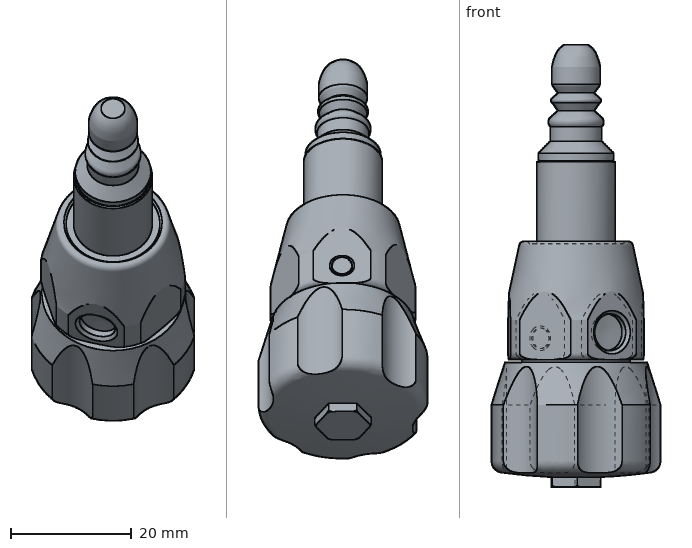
import cadquery as cq
import math

total_height = 73.2

hex_sides = 6
hex_across_flats = 8.05
hex_chamfer = 0.2
hex_turn = 2.5

knob_bottom_z = 1.55
knob_shoulder_z = 13.6
knob_top_z = 20.65
knob_radius = 28.0 / 2
knob_top_radius = 11.8
knob_edge_radius = 2.0
knob_dome_radius = 90.0
flute_count = 6
flute_radius = 5.8
flute_floor_radius = 12.0
flute_start_angle = 47.0

neck_radius = 9.0

sleeve_bottom_z = 21.1
sleeve_shoulder_z = 27.7
sleeve_top_z = 40.7
sleeve_radius = 24.1 / 2
sleeve_top_radius = 9.3
sleeve_top_edge_radius = 0.95
sleeve_bottom_edge_radius = 1.1
sleeve_flat_distance = 11.05
sleeve_flat_count = 6
sleeve_flat_angle = 2.6
recess_diameter = 15.5
recess_depth = 0.45
recess_chamfer = 0.4

port_angle = sleeve_flat_angle - 360.0 / sleeve_flat_count
port_z = 25.6
port_diameter = 6.1
port_depth = 1.7
port_chamfer = 0.55
port_cone_depth = 0.2

pin_angle = port_angle + 180.0
pin_z = 24.7
pin_diameter = 3.4
pin_groove_diameter = 4.1
pin_groove_depth = 0.4

shaft_radius = 13.0 / 2
shaft_top_z = 53.8
shaft_groove_radius = 6.1
shaft_groove_width = 0.2
collar_radius = 12.5 / 2
collar_top_z = 55.3
stem_radius = 8.6 / 2
stem_bottom_z = 57.25
ring_bottom_z = 59.65
ring_top_z = 61.2
ring_top_radius = 4.25
ring_crest_radius = 4.6
waist_radius = 6.1 / 2
lower_waist_z = 62.3
bead_bottom_z = 63.6
bead_top_z = 64.35
bead_crest_radius = 4.2
bead_edge_radius = 3.95
upper_waist_z = 65.2
tip_radius = 8.05 / 2
tip_bottom_z = 66.7
tip_bevel_width = 0.2
tip_bevel_height = 0.45
tip_shoulder_z = 69.55
tip_nose_z = 71.3
tip_nose_radius = 3.5
tip_top_radius = 2.0
tip_flank_arc_radius = 6.6
tip_nose_arc_radius = 3.3


def around_z(shape, angle):
    return shape.rotate((0, 0, 0), (0, 0, 1), angle)


def make_hex_end():
    across_corners = hex_across_flats / math.cos(math.pi / hex_sides)
    height = knob_shoulder_z
    hexagon = cq.Workplane("XY").polygon(hex_sides, across_corners).extrude(height)
    chamfered_disc = (
        cq.Workplane("XY")
        .circle(across_corners / 2)
        .extrude(height)
        .faces("<Z")
        .chamfer(hex_chamfer)
    )
    return around_z(hexagon.intersect(chamfered_disc), 180 / hex_sides + hex_turn)


def make_knob():
    tilt = math.asin((knob_radius - knob_edge_radius) / (knob_dome_radius - knob_edge_radius))
    dome_rim = (
        knob_dome_radius * math.sin(tilt),
        knob_bottom_z + knob_dome_radius * (1 - math.cos(tilt)),
    )
    edge_top_z = dome_rim[1] + knob_edge_radius * math.cos(tilt)
    blank = (
        cq.Workplane("XZ")
        .moveTo(0, knob_bottom_z)
        .radiusArc(dome_rim, -knob_dome_radius)
        .radiusArc((knob_radius, edge_top_z), -knob_edge_radius)
        .lineTo(knob_radius, knob_shoulder_z)
        .lineTo(knob_top_radius, knob_top_z)
        .lineTo(0, knob_top_z)
        .close()
        .revolve(360, (0, 0), (0, 1))
    )
    flutes = (
        cq.Workplane("XY")
        .polarArray(flute_floor_radius + flute_radius, flute_start_angle, 360, flute_count)
        .circle(flute_radius)
        .extrude(knob_top_z)
    )
    return blank.cut(flutes)


def make_sleeve():
    blank = (
        cq.Workplane("XZ")
        .moveTo(0, sleeve_bottom_z)
        .lineTo(sleeve_radius, sleeve_bottom_z)
        .lineTo(sleeve_radius, sleeve_shoulder_z)
        .lineTo(sleeve_top_radius, sleeve_top_z)
        .lineTo(0, sleeve_top_z)
        .close()
        .revolve(360, (0, 0), (0, 1))
        .faces(">Z").edges().fillet(sleeve_top_edge_radius)
        .faces("<Z").edges().fillet(sleeve_bottom_edge_radius)
    )
    flats_across_corners = 2 * sleeve_flat_distance / math.cos(math.pi / sleeve_flat_count)
    flats = (
        cq.Workplane("XY", origin=(0, 0, sleeve_bottom_z))
        .polygon(sleeve_flat_count, flats_across_corners)
        .extrude(sleeve_top_z - sleeve_bottom_z)
    )
    sleeve = blank.intersect(around_z(flats, 180 / sleeve_flat_count + sleeve_flat_angle))
    return (
        sleeve.faces(">Z").workplane(origin=(0, 0, 0))
        .circle(recess_diameter / 2)
        .cutBlind(-recess_depth)
        .faces(">Z").edges(cq.selectors.RadiusNthSelector(0)).chamfer(recess_chamfer)
    )


def flat_plane(angle, z):
    """Plane lying on a sleeve flat, with its normal pointing outwards."""
    direction = cq.Vector(math.cos(math.radians(angle)), math.sin(math.radians(angle)), 0)
    origin = direction * sleeve_flat_distance + cq.Vector(0, 0, z)
    return cq.Plane(origin=origin, xDir=(0, 0, 1), normal=direction)


def revolve_into_flat(points, angle, z):
    """Turn a (radius, depth) outline about the outward normal of a flat."""
    profile = cq.Workplane("XZ").polyline([(r, -depth) for r, depth in points]).close()
    tool = profile.revolve(360, (0, 0), (0, 1)).val()
    return cq.Workplane(tool.moved(cq.Location(flat_plane(angle, z))))


def make_port():
    radius = port_diameter / 2
    outline = [
        (0, 0),
        (radius + port_chamfer, 0),
        (radius, port_chamfer),
        (radius, port_depth),
        (0, port_depth + port_cone_depth),
    ]
    return revolve_into_flat(outline, port_angle, port_z)


def make_pin_groove():
    outline = [
        (pin_diameter / 2, 0),
        (pin_groove_diameter / 2, 0),
        (pin_diameter / 2, pin_groove_depth),
    ]
    return revolve_into_flat(outline, pin_angle, pin_z)


def make_shaft():
    return (
        cq.Workplane("XZ")
        .moveTo(0, knob_shoulder_z)
        .lineTo(neck_radius, knob_shoulder_z)
        .lineTo(neck_radius, sleeve_shoulder_z)
        .lineTo(shaft_radius, sleeve_shoulder_z)
        .lineTo(shaft_radius, shaft_top_z)
        .lineTo(shaft_groove_radius, shaft_top_z)
        .lineTo(shaft_groove_radius, shaft_top_z + shaft_groove_width)
        .lineTo(collar_radius, shaft_top_z + shaft_groove_width)
        .lineTo(collar_radius, collar_top_z)
        .lineTo(stem_radius, stem_bottom_z)
        .lineTo(stem_radius, ring_bottom_z)
        .threePointArc(
            (ring_crest_radius, (ring_bottom_z + ring_top_z) / 2),
            (ring_top_radius, ring_top_z),
        )
        .lineTo(waist_radius, lower_waist_z)
        .lineTo(bead_edge_radius, bead_bottom_z)
        .threePointArc(
            (bead_crest_radius, (bead_bottom_z + bead_top_z) / 2),
            (bead_edge_radius, bead_top_z),
        )
        .lineTo(waist_radius, upper_waist_z)
        .lineTo(tip_radius - tip_bevel_width, tip_bottom_z - tip_bevel_height)
        .lineTo(tip_radius, tip_bottom_z)
        .lineTo(tip_radius, tip_shoulder_z)
        .radiusArc((tip_nose_radius, tip_nose_z), -tip_flank_arc_radius)
        .radiusArc((tip_top_radius, total_height), -tip_nose_arc_radius)
        .lineTo(0, total_height)
        .close()
        .revolve(360, (0, 0), (0, 1))
    )


sleeve = make_sleeve().cut(make_port()).cut(make_pin_groove())
result = make_knob().union(make_hex_end()).union(make_shaft()).union(sleeve)